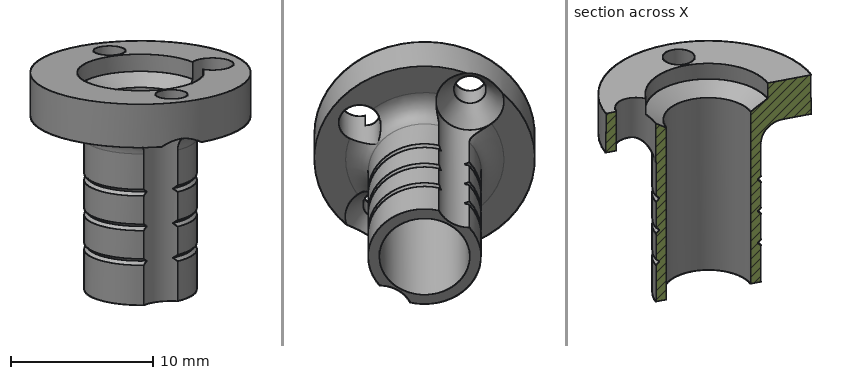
import cadquery as cq

height = 15.88
flange_radius = 15.5 / 2
flange_thickness = 3.18
stem_radius = 3.97
neck_fillet = 1.59
flange_bottom = height - flange_thickness

groove_depth = 0.24
lowest_groove_z = 3.18
groove_pitch = 2.54
groove_count = 3

bore_radius = 6.35 / 2
recess_radius = 4.45
recess_wall_depth = 1.25
recess_depth = 2.05

screw_offset = 5.76
screw_radius = 2.25 / 2
head_radius = 2.38
head_cone_height = 1.54

side_hole_offset = 5.46
side_hole_radius = 2.95 / 2


def make_body():
    """Revolve the flange and stem, with a concave fillet between them."""
    fillet_center = (stem_radius + neck_fillet, flange_bottom - neck_fillet)
    diagonal = neck_fillet * 0.5 ** 0.5
    return (
        cq.Workplane("XZ")
        .lineTo(stem_radius, 0)
        .lineTo(stem_radius, flange_bottom - neck_fillet)
        .threePointArc(
            (fillet_center[0] - diagonal, fillet_center[1] + diagonal),
            (fillet_center[0], flange_bottom),
        )
        .lineTo(flange_radius, flange_bottom)
        .lineTo(flange_radius, height)
        .lineTo(0, height)
        .close()
        .revolve(360, (0, 0), (0, 1))
    )


def make_groove(z):
    """Ring that cuts a 90 degree V groove centred at height z."""
    outer_radius = stem_radius + groove_depth
    half_width = outer_radius - (stem_radius - groove_depth)
    return (
        cq.Workplane("XZ")
        .moveTo(stem_radius - groove_depth, z)
        .lineTo(outer_radius, z + half_width)
        .lineTo(outer_radius, z - half_width)
        .close()
        .revolve(360, (0, 0), (0, 1))
    )


def make_bore():
    """Through bore with a straight recess and a conical seat at the top."""
    return (
        cq.Workplane("XZ")
        .lineTo(bore_radius, 0)
        .lineTo(bore_radius, height - recess_depth)
        .lineTo(recess_radius, height - recess_wall_depth)
        .lineTo(recess_radius, height)
        .lineTo(0, height)
        .close()
        .revolve(360, (0, 0), (0, 1))
    )


def make_screw_hole(x):
    """Screw hole countersunk from below, with head clearance along the stem."""
    return (
        cq.Workplane("XZ")
        .lineTo(head_radius, 0)
        .lineTo(head_radius, flange_bottom)
        .lineTo(screw_radius, flange_bottom + head_cone_height)
        .lineTo(screw_radius, height)
        .lineTo(0, height)
        .close()
        .revolve(360, (0, 0), (0, 1))
        .translate((x, 0, 0))
    )


result = make_body()
for index in range(groove_count):
    result = result.cut(make_groove(lowest_groove_z + index * groove_pitch))
result = result.cut(make_bore())
for side in (-1, 1):
    result = result.cut(make_screw_hole(side * screw_offset))

side_hole_length = flange_thickness + neck_fillet
side_hole = (
    cq.Workplane("XY", origin=(0, side_hole_offset, height - side_hole_length))
    .circle(side_hole_radius)
    .extrude(side_hole_length)
)
result = result.cut(side_hole)